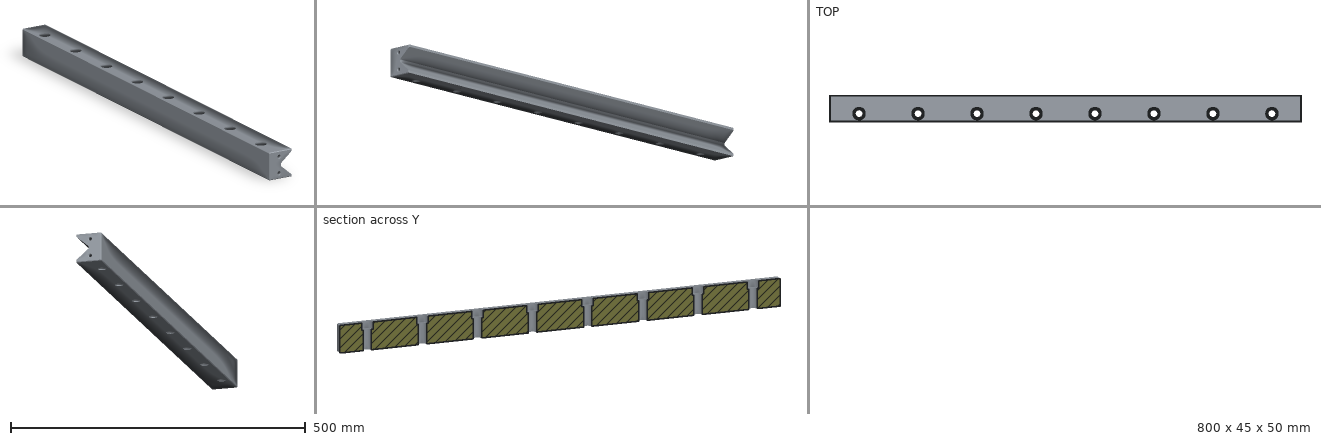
import cadquery as cq

length = 800.0
width = 45.0
height = 50.0
edge_chamfer = 1.2

lip = 4.0
groove_depth = 22.0
groove_floor = 5.0

hole_count = 8
hole_pitch = length / hole_count
hole_wall = 4.0
bore_diameter = 14.0
counterbore_diameter = 20.0
counterbore_depth = 13.0
hole_offset = counterbore_diameter / 2 + hole_wall

end_hole_diameter = 5.2
end_countersink_diameter = 7.0
end_countersink_angle = 90
end_hole_offset = 20.0
end_hole_spacing = 30.0
end_hole_depth = 12.0


def rail_body():
    """Bar with chamfered outer edges on the -Y side and at both ends."""
    bar = cq.Workplane("XY").box(length, width, height, centered=(True, False, True))
    bar = bar.faces("<Y").edges("|X").chamfer(edge_chamfer)
    return bar.faces("<X or >X").edges().chamfer(edge_chamfer)


def raceway():
    """Flat-bottomed V prism that opens toward +Y."""
    mouth_half = height / 2 - lip
    floor_half = groove_floor / 2
    floor_y = width - groove_depth
    return (
        cq.Workplane("YZ", origin=(-length / 2, 0, 0))
        .polyline([
            (width, -mouth_half),
            (floor_y, -floor_half),
            (floor_y, floor_half),
            (width, mouth_half),
        ])
        .close()
        .extrude(length)
    )


def drill_mounting_holes(body):
    """Through holes with counterbores in the top face."""
    return (
        body.faces(">Z").workplane(origin=(0, hole_offset, 0))
        .rarray(hole_pitch, 8, hole_count, 1)
        .cboreHole(bore_diameter, counterbore_diameter, counterbore_depth)
    )


def drill_end_holes(body, end):
    """Two countersunk blind holes, one above the other, in one end face."""
    return (
        body.faces(end).workplane(origin=(0, end_hole_offset, 0))
        .rarray(8, end_hole_spacing, 1, 2)
        .cskHole(end_hole_diameter, end_countersink_diameter, end_countersink_angle, end_hole_depth)
    )


result = rail_body().cut(raceway())
result = drill_mounting_holes(result)
for end in ("<X", ">X"):
    result = drill_end_holes(result, end)